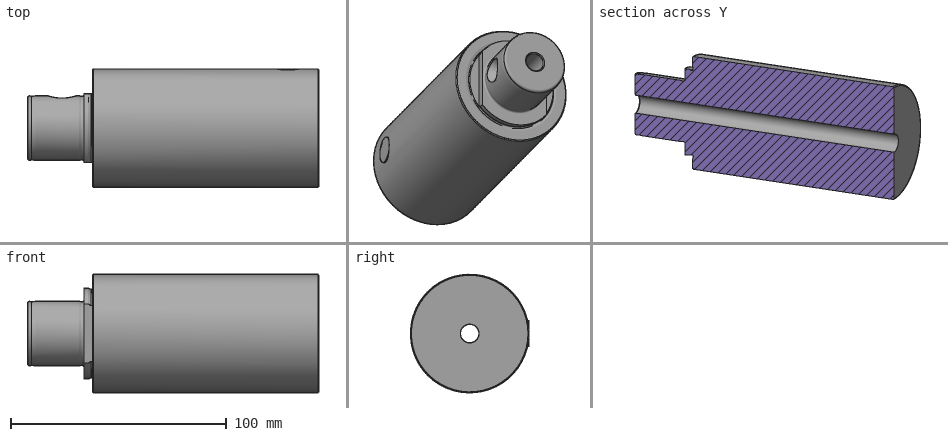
import cadquery as cq
import math

total_length = 135.0
collar_start = 26.1
barrel_start = 30.0

journal_radius = 30.0 / 2
collar_radius = 42.0 / 2
barrel_radius = 55.0 / 2

bore_radius = 8.5 / 2
bore_chamfer = 0.5

journal_edge_round = 1.0
barrel_chamfer = 0.5

relief_bottom_x = 1.8
relief_end_x = 3.7
relief_depth = 0.2

journal_undercut = dict(length=2.1, slope=0.9, depth=0.2, face_depth=0.0, fillet=0.75)
collar_undercut = dict(length=1.8, slope=1.2, depth=0.4, face_depth=0.3, fillet=0.6)
barrel_face_dish_radius = collar_radius + 1.5

flat_distance = 32.0

seat_x = 16.0
seat_radius = 6.5

plug_x = 120.5
plug_radius = 12.0 / 2
plug_length = 10.0


def add_undercut(profile, corner_x, radius, length, slope, depth, face_depth, fillet):
    """Extend the profile through a filleted relief that sinks into the shaft by depth
    and into the shoulder at corner_x by face_depth."""
    floor_radius = radius - depth
    wall_x = corner_x + face_depth
    fillet_inset = fillet * (1 - math.sqrt(0.5))
    return (
        profile.lineTo(corner_x - length, radius)
        .lineTo(corner_x - length + slope, floor_radius)
        .lineTo(wall_x - fillet, floor_radius)
        .threePointArc(
            (wall_x - fillet_inset, floor_radius + fillet_inset),
            (wall_x, floor_radius + fillet),
        )
    )


def make_turned_blank():
    """Journal, collar and barrel as one solid of revolution about X."""
    round_inset = journal_edge_round * (1 - math.sqrt(0.5))
    profile = (
        cq.Workplane("XY")
        .lineTo(0, journal_radius - journal_edge_round)
        .threePointArc((round_inset, journal_radius - round_inset), (journal_edge_round, journal_radius))
        .lineTo(relief_bottom_x, journal_radius - relief_depth)
        .lineTo(relief_end_x, journal_radius)
    )
    profile = add_undercut(profile, collar_start, journal_radius, **journal_undercut)
    profile = profile.lineTo(collar_start, collar_radius)
    profile = add_undercut(profile, barrel_start, collar_radius, **collar_undercut)
    profile = (
        profile.lineTo(barrel_start, barrel_face_dish_radius)
        .lineTo(barrel_start, barrel_radius - barrel_chamfer)
        .lineTo(barrel_start + barrel_chamfer, barrel_radius)
        .lineTo(total_length - barrel_chamfer, barrel_radius)
        .lineTo(total_length, barrel_radius - barrel_chamfer)
        .lineTo(total_length, 0)
        .close()
    )
    return profile.revolve(360, (0, 0, 0), (1, 0, 0))


def make_bore():
    """Through bore, countersunk at the journal end."""
    mouth_radius = bore_radius + bore_chamfer
    return (
        cq.Workplane("XY")
        .lineTo(0, mouth_radius)
        .lineTo(bore_chamfer, bore_radius)
        .lineTo(total_length, bore_radius)
        .lineTo(total_length, 0)
        .close()
        .revolve(360, (0, 0, 0), (1, 0, 0))
    )


def make_flat_cutters():
    """Two blocks that leave the collar with parallel flats facing +Y and -Y."""
    cutter_depth = collar_radius
    cutter_centre_y = flat_distance / 2 + cutter_depth / 2
    return (
        cq.Workplane("YZ", origin=(collar_start, 0, 0))
        .pushPoints([(cutter_centre_y, 0), (-cutter_centre_y, 0)])
        .rect(cutter_depth, 2 * collar_radius)
        .extrude(barrel_start - collar_start)
    )


def make_seat_cutter():
    """Cone pointing at the axis, seat_radius wide at the crown of the journal."""
    tip_y = journal_radius - seat_radius
    return (
        cq.Workplane("XY", origin=(seat_x, tip_y, 0))
        .lineTo(seat_radius, seat_radius)
        .lineTo(0, seat_radius)
        .close()
        .revolve(360, (0, 0, 0), (0, 1, 0))
    )


def make_plug():
    """Round plug lying along Y, reaching inward from the barrel's crown."""
    return cq.Workplane("XZ", origin=(plug_x, barrel_radius, 0)).circle(plug_radius).extrude(plug_length)


def make_spindle():
    """Turned blank with its bore, wrench flats, conical seat and plug hole."""
    return (
        make_turned_blank()
        .cut(make_bore())
        .cut(make_flat_cutters())
        .cut(make_seat_cutter())
        .cut(make_plug())
    )


spindle = make_spindle()
plug = make_plug()

result = cq.Compound.makeCompound([spindle.val(), plug.val()])